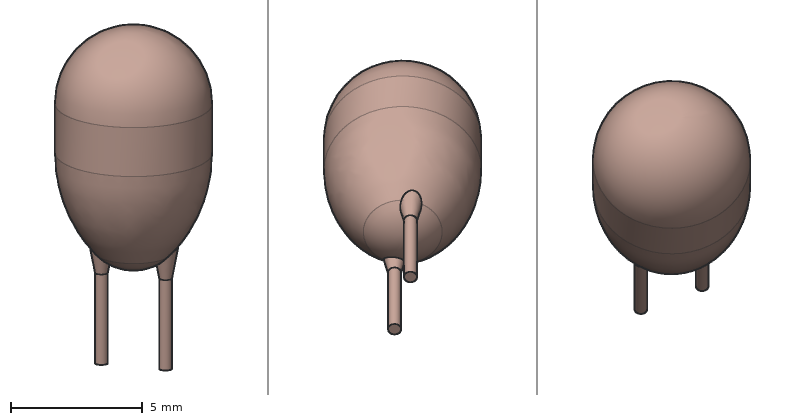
import cadquery as cq
import math

total_height = 13.5
bead_diameter = 6.0
bead_radius = bead_diameter / 2
band_height = 1.96
taper_arc_radius = bead_diameter
tip_radius = 2.0

lead_pitch = 2.54
lead_diameter = 0.5
lead_radius = lead_diameter / 2
lead_length = 3.62
collar_top_radius = 0.5
collar_height = 1.32

dome_base_z = total_height - bead_radius
taper_top_z = dome_base_z - band_height

taper_center_x = bead_radius - taper_arc_radius
center_distance = taper_arc_radius - tip_radius
tip_center_z = taper_top_z - math.sqrt(center_distance**2 - taper_center_x**2)
tip_z = tip_center_z - tip_radius

tangent_angle = math.acos(-taper_center_x / center_distance)
tip_mid_angle = (tangent_angle + math.pi / 2) / 2


def arc_point(center_x, center_z, radius, angle):
    """Point on an arc at an angle below the horizontal."""
    return (center_x + radius * math.cos(angle), center_z - radius * math.sin(angle))


def make_bead():
    """Domed bead with a straight band and a tapered, rounded lower end."""
    dome_mid = arc_point(0, dome_base_z, bead_radius, -math.pi / 4)
    taper_mid = arc_point(taper_center_x, taper_top_z, taper_arc_radius, tangent_angle / 2)
    taper_end = arc_point(taper_center_x, taper_top_z, taper_arc_radius, tangent_angle)
    tip_mid = arc_point(0, tip_center_z, tip_radius, tip_mid_angle)
    profile = (
        cq.Workplane("XZ")
        .moveTo(0, total_height)
        .threePointArc(dome_mid, (bead_radius, dome_base_z))
        .lineTo(bead_radius, taper_top_z)
        .threePointArc(taper_mid, taper_end)
        .threePointArc(tip_mid, (0, tip_z))
        .close()
    )
    return profile.revolve(360, (0, 0, 0), (0, 1, 0))


def make_lead(x):
    """Round wire that ends flush with the bottom of its collar."""
    return cq.Workplane("XY").center(x, 0).circle(lead_radius).extrude(lead_length)


def make_collar(x, bead):
    """Cone that widens upward from the lead and seats against the bead."""
    profile = (
        cq.Workplane("XZ", origin=(x, 0, lead_length))
        .lineTo(lead_radius, 0)
        .lineTo(collar_top_radius, collar_height)
        .lineTo(0, collar_height)
        .close()
    )
    cone = profile.revolve(360, (0, 0, 0), (0, 1, 0))
    return cone.cut(bead)


bead = make_bead()
bodies = [bead.val()]
for side in (-1, 1):
    lead_x = side * lead_pitch / 2
    bodies.append(make_lead(lead_x).val())
    bodies.extend(make_collar(lead_x, bead).solids().vals())

result = cq.Compound.makeCompound(bodies)